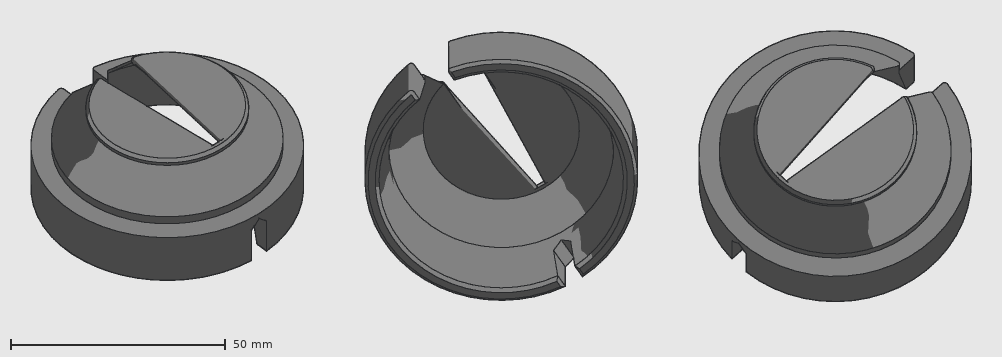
import cadquery as cq

base_radius = 31.75
base_height = 14.3
shoulder_radius = 27.0
shoulder_top = 16.5
top_radius = 19.0
total_height = 27.0
chamfer_size = 0.75
slot_round = 0.8
lower_slot_round = 0.7

roof_thickness = 1.6
roof_underside = total_height - roof_thickness
wall_thickness = 0.8
cavity_mouth_radius = 28.6
cavity_taper_top = 12.7

slot_half_width = 4.75
slot_end_half_width = 1.0
slot_taper_start = -16.4
slot_end = 17.35

gable_half_width = 2.35
gable_apex = cavity_taper_top
gable_shoulder = gable_apex - gable_half_width

tolerance = 0.005
clearance = 3.2


def outer_body():
    profile = (
        cq.Workplane("XZ")
        .lineTo(base_radius, 0)
        .lineTo(base_radius, base_height)
        .lineTo(shoulder_radius, base_height)
        .lineTo(shoulder_radius, shoulder_top)
        .lineTo(top_radius, roof_underside)
        .lineTo(top_radius, total_height - chamfer_size)
        .lineTo(top_radius - chamfer_size, total_height)
        .lineTo(0, total_height)
        .close()
    )
    return profile.revolve()


def cavity():
    inner_shoulder = shoulder_radius - wall_thickness
    profile = (
        cq.Workplane("XZ")
        .lineTo(cavity_mouth_radius, 0)
        .lineTo(inner_shoulder, cavity_taper_top)
        .lineTo(inner_shoulder, shoulder_top)
        .lineTo(top_radius - wall_thickness, roof_underside)
        .lineTo(0, roof_underside)
        .close()
    )
    return profile.revolve()


def tapered_slot():
    outside = -base_radius - clearance
    outline = [
        (outside, -slot_half_width),
        (slot_taper_start, -slot_half_width),
        (slot_end, -slot_end_half_width),
        (slot_end, slot_end_half_width),
        (slot_taper_start, slot_half_width),
        (outside, slot_half_width),
    ]
    return cq.Workplane("XY").polyline(outline).close().extrude(total_height)


def gabled_opening():
    outline = [
        (-gable_half_width, 0),
        (-gable_half_width, gable_shoulder),
        (0, gable_apex),
        (gable_half_width, gable_shoulder),
        (gable_half_width, 0),
    ]
    return cq.Workplane("YZ").polyline(outline).close().extrude(base_radius + clearance)


def slot_rim_edges(body):
    """Edges where the slot walls meet the outside of the solid body, except the ledge and bottom."""
    edges = []
    for edge in body.edges().vals():
        box = edge.BoundingBox()
        on_wall = box.ymin * box.ymax > 0 and max(-box.ymin, box.ymax) < slot_half_width + tolerance
        level = box.zlen < tolerance
        on_top = level and box.zmin > total_height - tolerance
        taper_corner = box.xmin > slot_taper_start - tolerance
        if on_wall and (on_top or not (level or taper_corner)):
            edges.append(edge)
    return edges


def lower_roof_edges(body):
    """Tapering slot edges on the underside of the roof."""
    edges = []
    for edge in body.edges().vals():
        box = edge.BoundingBox()
        on_underside = abs(box.zmin - roof_underside) < tolerance and box.zlen < tolerance
        tapering = box.xlen > slot_end and box.ymin * box.ymax > 0
        if on_underside and tapering:
            edges.append(edge)
    return edges


slotted = outer_body().cut(tapered_slot())
rounded = slotted.newObject(slot_rim_edges(slotted)).fillet(slot_round)
hollow = rounded.cut(cavity()).cut(gabled_opening())
chamfered = hollow.faces("<Z").chamfer(chamfer_size)
result = chamfered.newObject(lower_roof_edges(chamfered)).fillet(lower_slot_round)